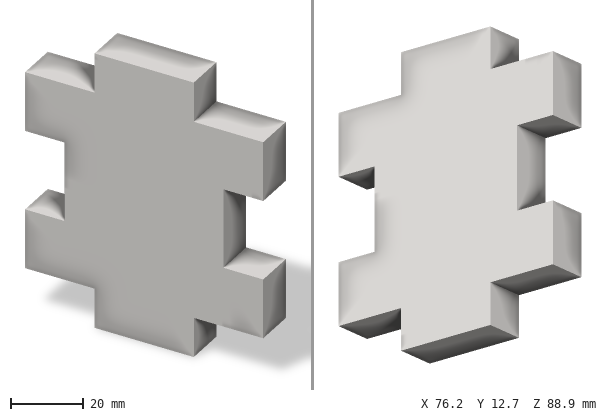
import cadquery as cq

thickness = 12.7
body_width = 76.2
body_height = 63.5
tab_width = 31.75
tab_length = thickness
notch_height = 25.4
notch_depth = thickness

overall_height = body_height + 2 * tab_length
notch_center_x = (body_width - notch_depth) / 2


def make_body():
    """Rectangular plate centred on the origin."""
    return cq.Workplane("XY").box(body_width, thickness, body_height)


def make_tabs():
    """Central strip whose ends form the top and bottom tabs."""
    return cq.Workplane("XY").box(tab_width, thickness, overall_height)


def make_notch(side):
    """Cutter for the mid-height notch on one side (-1 left, +1 right)."""
    notch = cq.Workplane("XY").box(notch_depth, thickness, notch_height)
    return notch.translate((side * notch_center_x, 0, 0))


result = make_body().union(make_tabs()).clean()
for side in (-1, 1):
    result = result.cut(make_notch(side))